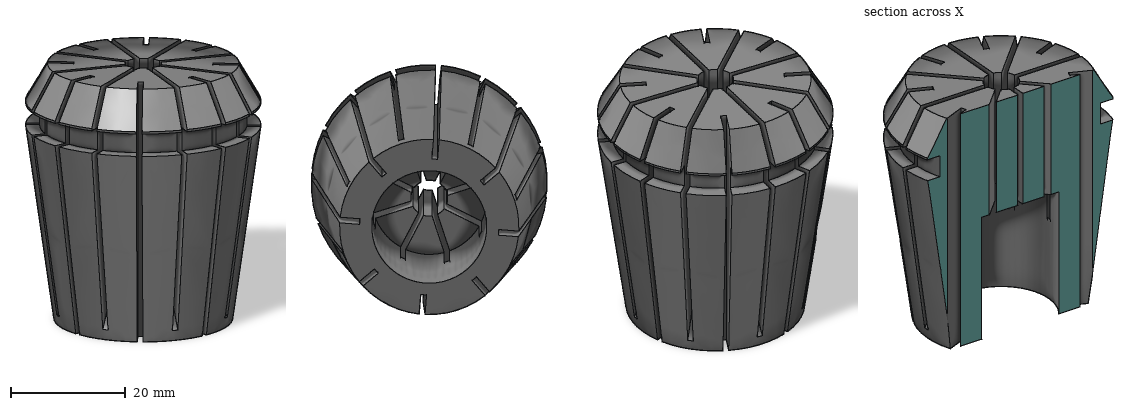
import cadquery as cq
import math

LENGTH = 46.0
MAX_RADIUS = 20.5
BODY_TAPER_DEG = 8.0
NOSE_TAPER_DEG = 30.0

GROOVE_BOTTOM_Z = 34.9
GROOVE_TOP_Z = 38.95
GROOVE_RADIUS = 18.05
RIM_LAND = 0.4

BORE_RADIUS = 3.2
RELIEF_RADIUS = 10.0

SLOT_COUNT = 8
SLOT_PITCH_DEG = 360.0 / SLOT_COUNT
SLOT_WIDTH = 1.0
LONG_SLOT_FLOOR_Z = 1.9
BLADE_RADIUS = 40.0
BLADE_CENTER_Z = 24.1
SHORT_SLOT_INNER_RADIUS = 12.1
CUT_MARGIN = 1.0

RELIEF_DEPTH = BLADE_CENTER_Z


def outer_radius_at(z):
    """Radius of the tapered body at height z, below the groove."""
    return MAX_RADIUS - (GROOVE_BOTTOM_Z - z) * math.tan(math.radians(BODY_TAPER_DEG))


def make_body():
    """Revolved blank: tapered body, extraction groove and conical nose."""
    rim_top_z = GROOVE_TOP_Z + RIM_LAND
    nose_radius = MAX_RADIUS - (LENGTH - rim_top_z) * math.tan(math.radians(NOSE_TAPER_DEG))
    profile = (
        cq.Workplane("XZ")
        .moveTo(RELIEF_RADIUS, 0)
        .lineTo(outer_radius_at(0), 0)
        .lineTo(MAX_RADIUS, GROOVE_BOTTOM_Z)
        .lineTo(GROOVE_RADIUS, GROOVE_BOTTOM_Z)
        .lineTo(GROOVE_RADIUS, GROOVE_TOP_Z)
        .lineTo(MAX_RADIUS, GROOVE_TOP_Z)
        .lineTo(MAX_RADIUS, rim_top_z)
        .lineTo(nose_radius, LENGTH)
        .lineTo(BORE_RADIUS, LENGTH)
        .lineTo(BORE_RADIUS, RELIEF_DEPTH)
        .lineTo(RELIEF_RADIUS, RELIEF_DEPTH)
        .close()
    )
    return profile.revolve(360, (0, 0, 0), (0, 1, 0))


def make_long_slot():
    """Slot from the nose into the bore, its floor an arc left by a round saw blade.

    The blade enters the outer cone at the floor height and rises inward until it
    runs vertical inside the relief, level with the blade centre.
    """
    floor_outer_radius = outer_radius_at(LONG_SLOT_FLOOR_Z)
    blade_rise = BLADE_CENTER_Z - LONG_SLOT_FLOOR_Z
    blade_center_radius = floor_outer_radius + math.sqrt(BLADE_RADIUS**2 - blade_rise**2)
    blade_inner_radius = blade_center_radius - BLADE_RADIUS
    slot_outer = MAX_RADIUS + CUT_MARGIN
    slot_top = LENGTH + CUT_MARGIN
    return (
        cq.Workplane("XZ")
        .moveTo(0, BLADE_CENTER_Z)
        .lineTo(blade_inner_radius, BLADE_CENTER_Z)
        .radiusArc((floor_outer_radius, LONG_SLOT_FLOOR_Z), -BLADE_RADIUS)
        .lineTo(slot_outer, LONG_SLOT_FLOOR_Z)
        .lineTo(slot_outer, slot_top)
        .lineTo(0, slot_top)
        .close()
        .extrude(SLOT_WIDTH / 2, both=True)
    )


def make_short_slot():
    """Full-length slot that stops in the wall short of the bore."""
    slot_depth = MAX_RADIUS + CUT_MARGIN - SHORT_SLOT_INNER_RADIUS
    return (
        cq.Workplane("XY")
        .box(slot_depth, SLOT_WIDTH, LENGTH + 2 * CUT_MARGIN, centered=(False, True, False))
        .translate((SHORT_SLOT_INNER_RADIUS, 0, -CUT_MARGIN))
    )


def turned(cutter, angle_deg):
    """The cutter turned about the collet axis."""
    return cutter.rotate((0, 0, 0), (0, 0, 1), angle_deg)


result = make_body()
long_slot = make_long_slot()
short_slot = make_short_slot()
for index in range(SLOT_COUNT):
    long_slot_angle = index * SLOT_PITCH_DEG
    result = result.cut(turned(long_slot, long_slot_angle))
    result = result.cut(turned(short_slot, long_slot_angle + SLOT_PITCH_DEG / 2))